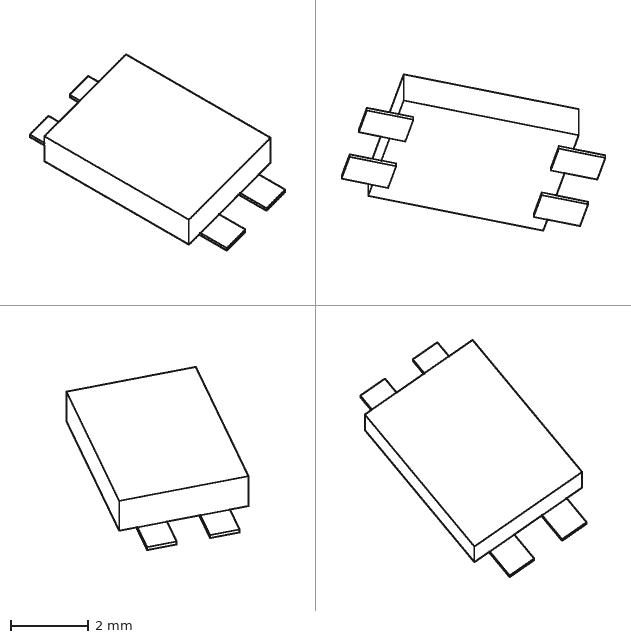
import cadquery as cq

overall_length = 6.4
overall_height = 1.1

lead_length = 1.25
lead_width = 0.8
lead_thickness = 0.1
lead_pitch = 1.7

housing_length = 4.7
housing_width = 3.5
housing_height = overall_height - lead_thickness


def make_housing():
    """Plain block resting on top of the leads, centred in X and Y."""
    return (
        cq.Workplane("XY", origin=(0, 0, lead_thickness))
        .box(housing_length, housing_width, housing_height, centered=(True, True, False))
    )


def make_lead(x_side, y_side):
    """Flat strip reaching from under the housing to the outer end on the given side."""
    center_x = x_side * (overall_length - lead_length) / 2
    center_y = y_side * lead_pitch / 2
    return (
        cq.Workplane("XY", origin=(center_x, center_y, 0))
        .box(lead_length, lead_width, lead_thickness, centered=(True, True, False))
    )


housing = make_housing()
leads = [make_lead(x_side, y_side) for x_side in (-1, 1) for y_side in (-1, 1)]

result = cq.Compound.makeCompound([housing.val(), *[lead.val() for lead in leads]])